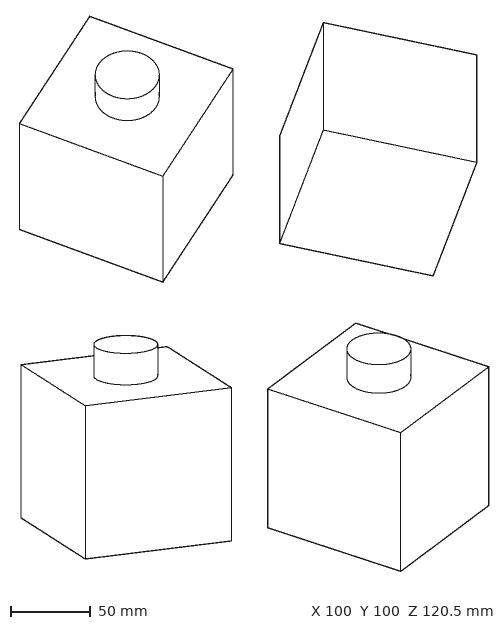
import cadquery as cq

block_side = 100.0

boss_diameter = 40.12
boss_height = 20.54
boss_offset_x = 0.7
boss_offset_y = 0.0


def make_block():
    """Cube centred on the Z axis, standing on the XY plane."""
    return cq.Workplane("XY").box(block_side, block_side, block_side, centered=(True, True, False))


def make_boss():
    """Cylinder rising from the top face of the block."""
    return (
        cq.Workplane("XY", origin=(boss_offset_x, boss_offset_y, block_side))
        .circle(boss_diameter / 2)
        .extrude(boss_height)
    )


result = make_block().union(make_boss())